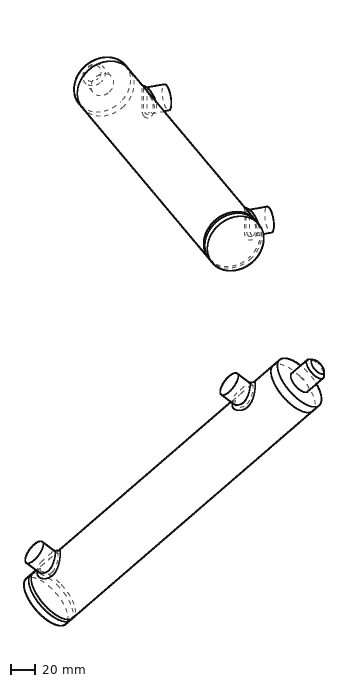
import cadquery as cq

TOTAL_LENGTH = 330.0

BARREL_DIAMETER = 50.0
BARREL_RADIUS = BARREL_DIAMETER / 2

ROD_LENGTH = 22.0
GLAND_LENGTH = 8.0
SEAM_LENGTH = 3.0
CAP_LENGTH = 6.0
BARREL_LENGTH = TOTAL_LENGTH - ROD_LENGTH - GLAND_LENGTH - SEAM_LENGTH - CAP_LENGTH

GLAND_X = ROD_LENGTH
BARREL_X = GLAND_X + GLAND_LENGTH
SEAM_X = BARREL_X + BARREL_LENGTH
CAP_X = SEAM_X + SEAM_LENGTH

ROD_DIAMETER = 20.0
TIP_DIAMETER = 15.0
TIP_LENGTH = 3.0

PORT_DIAMETER = 22.0
PORT_HEIGHT = 16.5
PORT_END_Y = BARREL_RADIUS + PORT_HEIGHT
PORT_POSITIONS = (63.0, 299.5)
WELD_LEG = 3.0


def axial_disc(start_x, length):
    """Full-diameter cylinder along X."""
    return cq.Workplane("YZ", origin=(start_x, 0, 0)).circle(BARREL_RADIUS).extrude(length)


def make_rod():
    """Exposed rod, revolved about X from its half profile."""
    rod_radius = ROD_DIAMETER / 2
    return (
        cq.Workplane("XY")
        .moveTo(0, 0)
        .lineTo(0, TIP_DIAMETER / 2)
        .lineTo(TIP_LENGTH, rod_radius)
        .lineTo(ROD_LENGTH, rod_radius)
        .lineTo(ROD_LENGTH, 0)
        .close()
        .revolve(360, (0, 0, 0), (1, 0, 0))
    )


def make_port(port_x, barrel):
    """Round stub whose foot is saddled onto the barrel."""
    stub = (
        cq.Workplane("XZ", origin=(port_x, 0, 0))
        .circle(PORT_DIAMETER / 2)
        .extrude(-PORT_END_Y)
    )
    return stub.cut(barrel)


def make_weld(port, barrel):
    """Bead filling the corner between a port and the barrel with a sloping face."""
    joined = barrel.union(port)
    foot_edge = port.faces("<Y").edges().val().Center()
    beaded = joined.edges(cq.NearestToPointSelector(foot_edge.toTuple())).chamfer(WELD_LEG)
    return beaded.cut(barrel).cut(port)


rod = make_rod()
gland = axial_disc(GLAND_X, GLAND_LENGTH)
barrel = axial_disc(BARREL_X, BARREL_LENGTH)
seam = axial_disc(SEAM_X, SEAM_LENGTH)
end_cap = axial_disc(CAP_X, CAP_LENGTH)
ports = [make_port(port_x, barrel) for port_x in PORT_POSITIONS]
welds = [make_weld(port, barrel) for port in ports]

result = cq.Compound.makeCompound([
    rod.val(),
    gland.val(),
    barrel.val(),
    seam.val(),
    end_cap.val(),
    *[port.val() for port in ports],
    *[weld.val() for weld in welds],
])